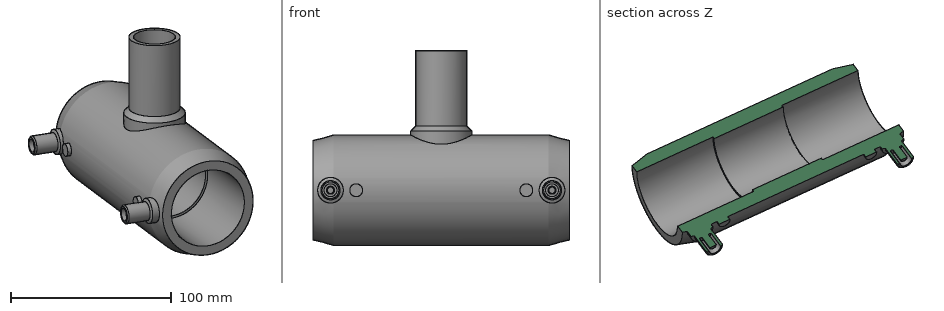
import cadquery as cq
import math

sleeve_length = 160.0
sleeve_diameter = 69.0
socket_bore_diameter = 50.0
stop_bore_diameter = 47.0
stop_length = 50.0
end_taper_length = 13.0
end_taper_angle = 15.0
end_taper_depth = end_taper_length * math.tan(math.radians(end_taper_angle))

branch_top = 87.0
branch_diameter = 32.0
branch_bore_diameter = 26.0
collar_diameter = 38.4
collar_top = 40.0
collar_chamfer = (collar_diameter - branch_diameter) / 2

terminal_spacing = 138.0
terminal_reach = 52.5
terminal_diameter = 12.0
terminal_tip_chamfer = 0.8
flange_diameter = 16.0
flange_rim_reach = 36.5
flange_reach = 37.3
contact_bore_diameter = 8.0
contact_bore_depth = 12.0
contact_pin_diameter = 5.0
contact_pin_chamfer = 0.5
contact_pin_recess = 2.2
indicator_spacing = 106.0
indicator_diameter = 8.0
indicator_reach = 37.0

root_offset_from_bore = 3.75
root_radius = socket_bore_diameter / 2 + root_offset_from_bore


def cylinder_along_x(diameter, length):
    """Cylinder along X, centred on the origin."""
    return cq.Workplane("YZ").circle(diameter / 2).extrude(length / 2, both=True)


def cylinder_toward_front(x, diameter, start, end):
    """Cylinder along -Y at the given X, between two distances from the sleeve axis."""
    return (
        cq.Workplane("XZ", origin=(x, -start, 0))
        .circle(diameter / 2)
        .extrude(end - start)
    )


def make_sleeve():
    """Solid sleeve body with a long shallow taper at each end."""
    half_length = sleeve_length / 2
    radius = sleeve_diameter / 2
    end_radius = radius - end_taper_depth
    return (
        cq.Workplane("XY")
        .moveTo(-half_length, 0)
        .lineTo(-half_length, end_radius)
        .lineTo(-half_length + end_taper_length, radius)
        .lineTo(half_length - end_taper_length, radius)
        .lineTo(half_length, end_radius)
        .lineTo(half_length, 0)
        .close()
        .revolve(360, (0, 0, 0), (1, 0, 0))
    )


def make_sleeve_bore():
    """Socket bore from both ends, narrowed in the middle by the pipe stop."""
    socket_bore = cylinder_along_x(socket_bore_diameter, sleeve_length)
    stop = cylinder_along_x(socket_bore_diameter, stop_length)
    return socket_bore.cut(stop).union(cylinder_along_x(stop_bore_diameter, sleeve_length))


def make_branch():
    """Branch pipe rising from a chamfered collar, rooted on the sleeve axis."""
    pipe_radius = branch_diameter / 2
    collar_radius = collar_diameter / 2
    return (
        cq.Workplane("XZ")
        .lineTo(collar_radius, 0)
        .lineTo(collar_radius, collar_top - collar_chamfer)
        .lineTo(pipe_radius, collar_top)
        .lineTo(pipe_radius, branch_top)
        .lineTo(0, branch_top)
        .close()
        .revolve(360, (0, 0, 0), (0, 1, 0))
    )


def make_terminal(x):
    """Terminal shroud on a cone-faced flange, with a recessed contact pin."""
    shroud_radius = terminal_diameter / 2
    flange_radius = flange_diameter / 2
    body = (
        cq.Workplane("XY", origin=(x, 0, 0))
        .moveTo(0, -root_radius)
        .lineTo(flange_radius, -root_radius)
        .lineTo(flange_radius, -flange_rim_reach)
        .lineTo(shroud_radius, -flange_reach)
        .lineTo(shroud_radius, terminal_tip_chamfer - terminal_reach)
        .lineTo(shroud_radius - terminal_tip_chamfer, -terminal_reach)
        .lineTo(0, -terminal_reach)
        .close()
        .revolve(360, (0, 0, 0), (0, 1, 0))
    )
    bore_floor = terminal_reach - contact_bore_depth
    contact_bore = cylinder_toward_front(x, contact_bore_diameter, bore_floor, terminal_reach)
    pin_tip = terminal_reach - contact_pin_recess
    pin = (
        cylinder_toward_front(x, contact_pin_diameter, root_radius, pin_tip)
        .faces("<Y")
        .chamfer(contact_pin_chamfer)
    )
    return body.cut(contact_bore).union(pin)


def make_indicator(x):
    """Short plain fusion indicator stud."""
    return cylinder_toward_front(x, indicator_diameter, root_radius, indicator_reach)


def make_branch_bore():
    """Bore running from the branch mouth down into the sleeve bore."""
    return cq.Workplane("XY").circle(branch_bore_diameter / 2).extrude(branch_top)


result = make_sleeve().union(make_branch())
result = result.cut(make_sleeve_bore())
result = result.cut(make_branch_bore())
for side in (-1, 1):
    result = result.union(make_terminal(side * terminal_spacing / 2))
    result = result.union(make_indicator(side * indicator_spacing / 2))